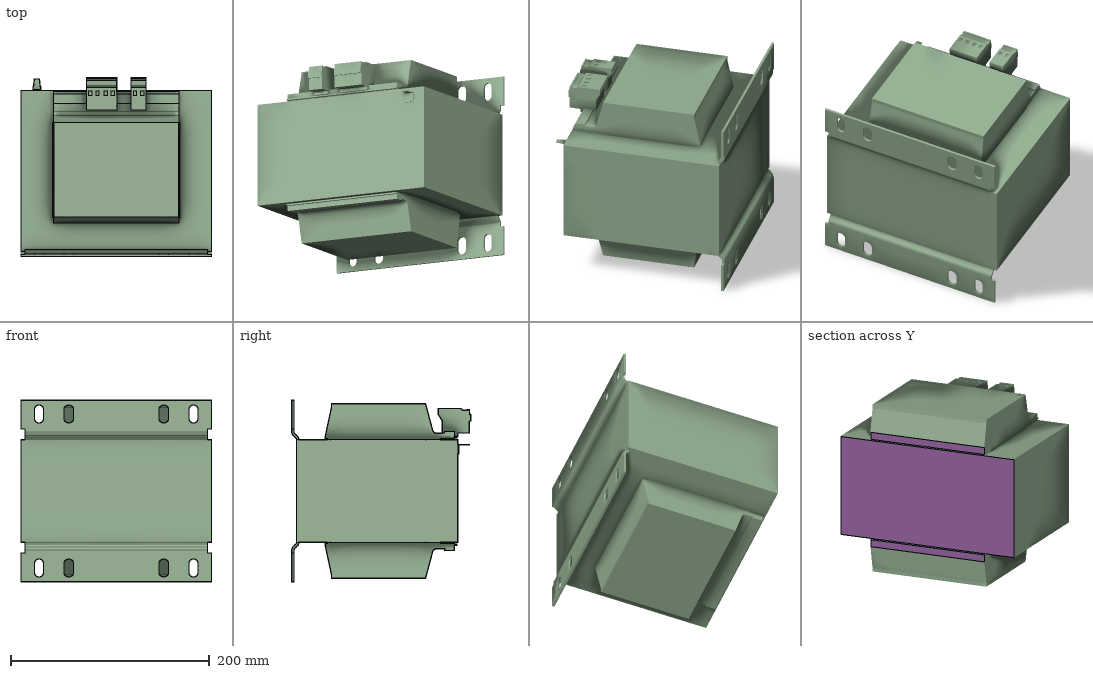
import cadquery as cq
import math


width = 192.0
plate_height = 183.0
plate_thickness = 2.5
flange_offset = 4.8
bend_inner_radius = 2.0
bend_outer_radius = bend_inner_radius + plate_thickness
bend_angle = math.radians(45)
notch_depth = 4.0
notch_top = 62.3
slot_height = 18.0
slot_z = 77.5
slot_places = [(77.75, 9.0), (47.8, 10.0)]

core_height = 103.6
core_half = core_height / 2
core_front = flange_offset + plate_thickness
yoke = width / 6
core_depth = 5 * yoke
core_back = core_front + core_depth
window_front = core_front + yoke
window_back = core_back - yoke
window_outer = width / 2 - yoke
coil_gap = 1.0

cover_half_width = window_outer - coil_gap
cover_top = 88.0
cover_rim = 84.0
cover_front = 33.6
cover_top_front = 39.9
cover_top_back = 134.8
cover_foot = 54.5
cover_relief = 0.8
cover_underside = core_half + cover_relief
front_contact = 36.0
back_contact = 149.6
deck_top = 58.2
back_slope_foot = 142.8
deck_blend_radius = 4.15
rail_front = 154.0
rail_back = 163.8
rail_top = 59.9
lip_back = 166.3
lip_bottom = 53.4
lip_top = 54.8

block_width = 15.35
outer_block_x = 22.5
block_centers = [-outer_block_x, -outer_block_x + block_width, outer_block_x]
block_top = 83.1
block_front = 147.3
block_waist = 151.5
block_back = 178.9
block_foot_back = 167.6
block_foot = 55.0
block_waist_top = 70.8
block_nose_bottom = 77.2
recess_front = 170.2
recess_bevel = 1.5
recess_z = 81.5
ridge_front = 177.1
ridge_top = 82.2
ridge_back = 178.9
ridge_foot = 179.4
marker_back = 180.3
marker_top = 77.0
marker_bottom = 70.3
pocket_offset = 3.6
pocket_width = 3.4
pocket_length = 4.8
pocket_center_y = 164.3
pocket_depth = 1.0

tab_x = -79.9
tab_thickness = 0.9
tab_base_width = 8.2
tab_blade_width = 7.0
tab_tip_width = 5.4
tab_top = 47.0
tab_bottom = 37.3
tab_shoulder = 171.0
tab_blade_end = 178.9


def side_extrusion(profile, x_start, length):
    """Extrude a closed YZ sketch along +X from x_start."""
    return profile.extrude(length).translate((x_start, 0, 0))


def flange():
    """Upper bent flange of the base plate, from the core edge upwards."""
    sin_a, cos_a = math.sin(bend_angle), math.cos(bend_angle)
    sin_m, cos_m = math.sin(bend_angle / 2), math.cos(bend_angle / 2)
    r_in, r_out = bend_inner_radius, bend_outer_radius
    low_y, low_z = flange_offset - r_in, core_half
    straight = (flange_offset - (r_in + r_out) * (1 - cos_a)) / sin_a
    high_y = r_out
    high_z = low_z + (r_in + r_out) * sin_a + straight * cos_a

    def low(r, s, c):
        return (low_y + r * c, low_z + r * s)

    def high(r, s, c):
        return (high_y - r * c, high_z - r * s)

    half_height = plate_height / 2
    profile = (
        cq.Workplane("YZ")
        .moveTo(*low(r_in, 0, 1))
        .threePointArc(low(r_in, sin_m, cos_m), low(r_in, sin_a, cos_a))
        .lineTo(*high(r_out, sin_a, cos_a))
        .threePointArc(high(r_out, sin_m, cos_m), high(r_out, 0, 1))
        .lineTo(0, half_height)
        .lineTo(plate_thickness, half_height)
        .lineTo(*high(r_in, 0, 1))
        .threePointArc(high(r_in, sin_m, cos_m), high(r_in, sin_a, cos_a))
        .lineTo(*low(r_out, sin_a, cos_a))
        .threePointArc(low(r_out, sin_m, cos_m), low(r_out, 0, 1))
        .close()
    )
    body = side_extrusion(profile, -width / 2, width)
    for side in (-1, 1):
        notch = cq.Workplane("XY").box(
            2 * notch_depth, 2 * core_front, notch_top - core_half, centered=(True, True, False)
        )
        body = body.cut(notch.translate((side * width / 2, core_front, core_half)))
        for distance, slot_width in slot_places:
            slot = (
                cq.Workplane("XZ")
                .center(side * distance, slot_z)
                .slot2D(slot_height, slot_width, 90)
                .extrude(-plate_thickness)
            )
            body = body.cut(slot)
    return body


def core():
    """Lamination stack with the middle of the plate, slit beside the coil."""
    block = cq.Workplane("XY").box(
        width, core_back - flange_offset, core_height, centered=(True, False, True)
    ).translate((0, flange_offset, 0))
    for side in (-1, 1):
        slit = cq.Workplane("XY").box(
            coil_gap, window_back - window_front, core_height, centered=(True, False, True)
        )
        block = block.cut(slit.translate((side * (window_outer - coil_gap / 2), window_front, 0)))
    return block


def coil_cover():
    """Upper coil cover with its sloped ends and the rail for the terminals."""
    profile = (
        cq.Workplane("YZ")
        .moveTo(front_contact, core_half)
        .lineTo(front_contact, cover_underside)
        .lineTo(cover_front, cover_underside)
        .lineTo(cover_front, cover_foot)
        .lineTo(cover_top_front, cover_rim)
        .lineTo(cover_top_front, cover_top)
        .lineTo(cover_top_back, cover_top)
        .lineTo(back_slope_foot, deck_top)
        .lineTo(rail_front, deck_top)
        .lineTo(rail_front, rail_top)
        .lineTo(rail_back, rail_top)
        .lineTo(rail_back, lip_top)
        .lineTo(lip_back, lip_top)
        .lineTo(lip_back, lip_bottom)
        .lineTo(rail_back, lip_bottom)
        .lineTo(rail_back, cover_underside)
        .lineTo(back_contact, cover_underside)
        .lineTo(back_contact, core_half)
        .close()
    )
    body = side_extrusion(profile, -cover_half_width, 2 * cover_half_width)
    blend_edge = cq.selectors.NearestToPointSelector((0, back_slope_foot, deck_top))
    return body.edges(blend_edge).fillet(deck_blend_radius)


def terminal_block(center_x):
    """Two-pole terminal block clipped on the rail of the upper cover."""
    profile = (
        cq.Workplane("YZ")
        .moveTo(block_waist, deck_top)
        .lineTo(block_waist, block_waist_top)
        .lineTo(block_front, block_nose_bottom)
        .lineTo(block_front, block_top)
        .lineTo(recess_front, block_top)
        .lineTo(recess_front + recess_bevel, recess_z)
        .lineTo(ridge_front, recess_z)
        .lineTo(ridge_front, ridge_top)
        .lineTo(ridge_back, ridge_top)
        .lineTo(ridge_foot, marker_top)
        .lineTo(marker_back, marker_top)
        .lineTo(marker_back, marker_bottom)
        .lineTo(block_back, marker_bottom)
        .lineTo(block_back, deck_top)
        .lineTo(block_foot_back, deck_top)
        .lineTo(block_foot_back, block_foot)
        .lineTo(rail_back, block_foot)
        .lineTo(rail_back, deck_top)
        .close()
    )
    body = side_extrusion(profile, center_x - block_width / 2, block_width)
    for side in (-1, 1):
        pocket = cq.Workplane("XY").box(
            pocket_width, pocket_length, pocket_depth, centered=(True, True, False)
        )
        place = (center_x + side * pocket_offset, pocket_center_y, block_top - pocket_depth)
        body = body.cut(pocket.translate(place))
    return body


def earth_tab():
    """L-shaped earth tab: a leg on the core back and a tapered blade."""
    leg = cq.Workplane("XY").box(
        tab_base_width, tab_thickness, tab_top - tab_bottom, centered=(True, False, False)
    ).translate((tab_x, core_back, tab_bottom))
    half_base, half_blade, half_tip = tab_base_width / 2, tab_blade_width / 2, tab_tip_width / 2
    blade = (
        cq.Workplane("XY")
        .polyline([
            (-half_base, core_back),
            (-half_base, tab_shoulder),
            (-half_blade, tab_shoulder),
            (-half_tip, tab_blade_end),
            (half_tip, tab_blade_end),
            (half_blade, tab_shoulder),
            (half_base, tab_shoulder),
            (half_base, core_back),
        ])
        .close()
        .extrude(tab_thickness)
        .translate((tab_x, 0, tab_top - tab_thickness))
    )
    return leg.union(blade)


result = core()
for upper in (flange(), coil_cover()):
    result = result.union(upper).union(upper.mirror("XY"))
for x in block_centers:
    result = result.union(terminal_block(x))
result = result.union(earth_tab())